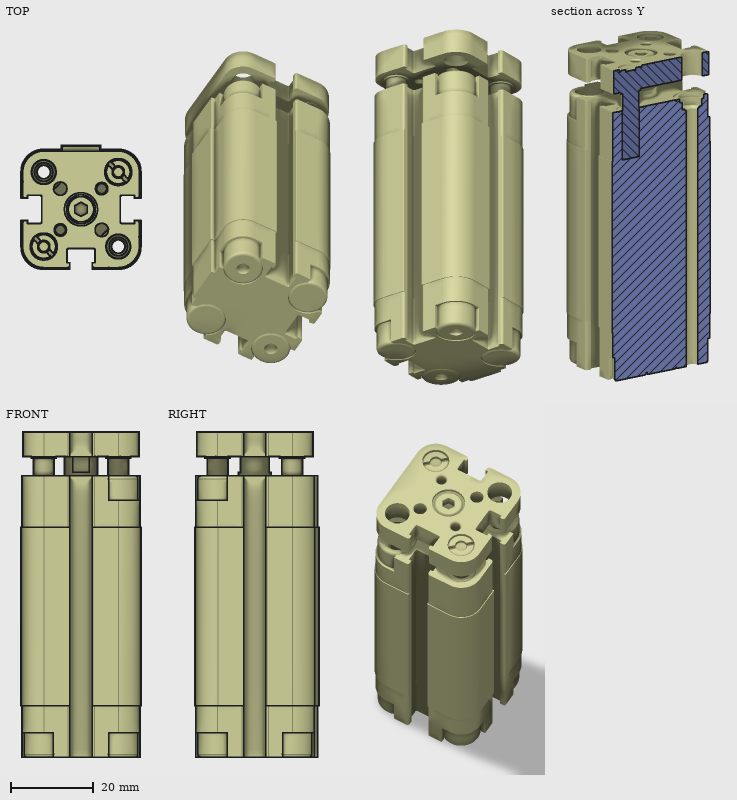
import cadquery as cq
import math

TOTAL_HEIGHT = 78.5
PLATE_THICKNESS = 6.0
PLATE_GAP = 4.55
CAP_HEIGHT = 12.4
PLATE_BOTTOM = TOTAL_HEIGHT - PLATE_THICKNESS
HOUSING_TOP = PLATE_BOTTOM - PLATE_GAP
BARREL_HEIGHT = HOUSING_TOP - 2 * CAP_HEIGHT

BARREL_WIDTH = 29.0
BARREL_HALF = BARREL_WIDTH / 2
BARREL_CORNER = 5.5
BARREL_LIP_ROUND = 0.2
CAP_HALF = 14.3
CAP_CORNER = 5.25
PLATE_HALF = 14.05
PLATE_CORNER = 5.0
CAP_LIP_ROUND = 0.55

SLOT_OPENING = 5.3
SLOT_WIDTH = 6.75
SLOT_FLOOR = 9.5
SLOT_LIP_INNER = 12.9
SLOT_FLOOR_ROUND = 0.4
SLOT_ANGLES = (0, 90, -90)
CUT_MARGIN = 0.8

BARREL_RAIL_WIDTH = 9.6
OVERALL_DEPTH = 30.0
BARREL_RAIL_TOP = OVERALL_DEPTH - BARREL_HALF
CAP_RAIL_WIDTH = 9.1
CAP_RAIL_SETBACK = 0.3
CAP_RAIL_TOP = BARREL_RAIL_TOP - CAP_RAIL_SETBACK
RAIL_ROUND = 0.3

CORNER_PITCH = 18.0
CORNER_OFFSET = CORNER_PITCH / 2
GUIDE_CORNERS = [(-CORNER_OFFSET, -CORNER_OFFSET), (CORNER_OFFSET, CORNER_OFFSET)]
SCREW_CORNERS = [(-CORNER_OFFSET, CORNER_OFFSET), (CORNER_OFFSET, -CORNER_OFFSET)]

BOSS_DIAMETER = 9.5
BOSS_HEIGHT = 6.0
BOSS_ROUND = 0.7
BOSS_POCKET_SIDE = 6.7

SCREW_RIM_DIAMETER = 7.0
SCREW_RIM_DEPTH = 1.0
SCREW_HEAD_DIAMETER = 5.7
SCREW_HEAD_DEPTH = 2.8
SCREW_TAPER_DIAMETER = 4.5
SCREW_BORE_DIAMETER = 3.2

ROD_DIAMETER = 8.0
ROD_FLATS = 7.0
ROD_FLAT_START = 0.8
GUIDE_DIAMETER = 5.0
GUIDE_COLLAR_DIAMETER = 6.1
GUIDE_COLLAR_HEIGHT = 0.4
ROD_INSERTION = CAP_HEIGHT
BUSHING_GROOVE_OUTER = 7.3
BUSHING_GROOVE_INNER = 6.8

END_RECESS = 0.3
ROD_END_DIAMETER = 7.0
ROD_END_TOP = 6.1
HEX_FLATS = 3.0
HEX_DEPTH = 2.35
GUIDE_END_DIAMETER = 6.5
GUIDE_END_TOP = 5.7
DRIVE_SLOT_WIDTH = 1.0
DRIVE_SLOT_DEPTH = 0.95
SCREW_TIP_DIAMETER = 3.0
SCREW_TIP_TOP = 2.4
SCREW_TIP_DEPTH = 0.5

ACCESS_HOLE_DIAMETER = 6.0
PLATE_HOLE_PITCH = 10.0
PIN_HOLE_DIAMETER = 3.2
THREAD_HOLE_DIAMETER = 2.4
THREAD_CHAMFER_DIAMETER = 3.0


def disc(diameter, bottom, height, center=(0, 0)):
    """Upright cylinder standing at the given height."""
    return cq.Workplane("XY", origin=(*center, bottom)).circle(diameter / 2).extrude(height)


def cone(bottom_diameter, top_diameter, bottom, center=(0, 0)):
    """Upright 45 degree truncated cone."""
    height = abs(bottom_diameter - top_diameter) / 2
    solid = cq.Solid.makeCone(bottom_diameter / 2, top_diameter / 2, height, cq.Vector(*center, bottom))
    return cq.Workplane(obj=solid)


def turned(shape, angle):
    """The shape turned about the cylinder axis."""
    return shape.rotate((0, 0, 0), (0, 0, 1), angle)


def t_slot(half, lip_round, bottom, height):
    """Cutter for the T-slot on the -Y side, with rounded outer lips."""
    opening = SLOT_OPENING / 2
    inner = SLOT_WIDTH / 2
    outside = half + CUT_MARGIN
    arc_inset = lip_round * (1 - math.sqrt(0.5))

    def lip_arc(side):
        return (side * (opening + arc_inset), arc_inset - half)

    return (
        cq.Workplane("XY", origin=(0, 0, bottom))
        .moveTo(-inner, -SLOT_FLOOR)
        .lineTo(inner, -SLOT_FLOOR)
        .lineTo(inner, -SLOT_LIP_INNER)
        .lineTo(opening, -SLOT_LIP_INNER)
        .lineTo(opening, lip_round - half)
        .threePointArc(lip_arc(1), (opening + lip_round, -half))
        .lineTo(opening + lip_round, -outside)
        .lineTo(-opening - lip_round, -outside)
        .lineTo(-opening - lip_round, -half)
        .threePointArc(lip_arc(-1), (-opening, lip_round - half))
        .lineTo(-opening, -SLOT_LIP_INNER)
        .lineTo(-inner, -SLOT_LIP_INNER)
        .close()
        .extrude(height)
    )


def slotted_block(half, corner, lip_round, floor_round, bottom, height):
    """Rounded square block with T-slots on three sides."""
    block = (
        cq.Workplane("XY", origin=(0, 0, bottom))
        .rect(2 * half, 2 * half)
        .extrude(height)
        .edges("|Z")
        .fillet(corner)
    )
    slot = t_slot(half, lip_round, bottom, height)
    if floor_round > 0:
        slot = slot.edges("|Z and >Y").fillet(floor_round)
    for angle in SLOT_ANGLES:
        block = block.cut(turned(slot, angle))
    return block


def rail(width, top, bottom, height):
    """Rail standing on the +Y side, with rounded outer edges."""
    depth = top - SLOT_FLOOR
    return (
        cq.Workplane("XY", origin=(0, SLOT_FLOOR + depth / 2, bottom))
        .rect(width, depth)
        .extrude(height)
        .edges("|Z and >Y")
        .fillet(RAIL_ROUND)
    )


def boss_relief():
    """Cutter that leaves a rounded boss at the (+X, +Y) corner of the top cap."""
    floor = HOUSING_TOP - BOSS_HEIGHT
    center = (CORNER_OFFSET, CORNER_OFFSET)
    pocket_size = BARREL_HALF - BOSS_POCKET_SIDE
    pocket = (
        cq.Workplane("XY", origin=(BOSS_POCKET_SIDE, BOSS_POCKET_SIDE, floor))
        .rect(pocket_size, pocket_size, centered=False)
        .extrude(BOSS_HEIGHT)
    )
    rim = disc(BOSS_DIAMETER, HOUSING_TOP - BOSS_ROUND, BOSS_ROUND, center)
    boss = disc(BOSS_DIAMETER, floor, BOSS_HEIGHT, center).faces(">Z").edges().fillet(BOSS_ROUND)
    return pocket.union(rim).cut(boss)


def screw_hole(center):
    """Cutter for a stepped mounting hole through the whole housing."""
    taper_height = (SCREW_TAPER_DIAMETER - SCREW_BORE_DIAMETER) / 2
    head_bottom = HOUSING_TOP - SCREW_HEAD_DEPTH
    bore = disc(SCREW_BORE_DIAMETER, 0, HOUSING_TOP, center)
    taper = cone(SCREW_BORE_DIAMETER, SCREW_TAPER_DIAMETER, head_bottom - taper_height, center)
    head = disc(SCREW_HEAD_DIAMETER, head_bottom, SCREW_HEAD_DEPTH, center)
    rim = disc(SCREW_RIM_DIAMETER, HOUSING_TOP - SCREW_RIM_DEPTH, SCREW_RIM_DEPTH, center)
    return bore.union(taper).union(head).union(rim)


def bushing_groove(center):
    """Cutter for the fine V-groove around a guide rod bushing."""
    depth = (BUSHING_GROOVE_OUTER - BUSHING_GROOVE_INNER) / 2
    ring = disc(BUSHING_GROOVE_OUTER, HOUSING_TOP - depth, depth, center)
    return ring.cut(cone(BUSHING_GROOVE_OUTER, BUSHING_GROOVE_INNER, HOUSING_TOP - depth, center))


def make_housing():
    """Barrel between two end caps, with rod holes in the top cap."""
    barrel_top = HOUSING_TOP - CAP_HEIGHT
    housing = slotted_block(BARREL_HALF, BARREL_CORNER, BARREL_LIP_ROUND, 0, CAP_HEIGHT, BARREL_HEIGHT)
    for bottom in (0, barrel_top):
        cap = slotted_block(CAP_HALF, CAP_CORNER, CAP_LIP_ROUND, SLOT_FLOOR_ROUND, bottom, CAP_HEIGHT)
        cap = cap.union(rail(CAP_RAIL_WIDTH, CAP_RAIL_TOP, bottom, CAP_HEIGHT))
        housing = housing.union(cap)
    housing = housing.union(rail(BARREL_RAIL_WIDTH, BARREL_RAIL_TOP, CAP_HEIGHT, BARREL_HEIGHT))

    relief = boss_relief()
    bottom_relief = relief.mirror("XY", (0, 0, HOUSING_TOP / 2))
    for angle in (90, -90):
        housing = housing.cut(turned(relief, angle))
    for angle in (0, 90, 180, 270):
        housing = housing.cut(turned(bottom_relief, angle))
    for corner in SCREW_CORNERS:
        housing = housing.cut(screw_hole(corner))

    hole_bottom = HOUSING_TOP - ROD_INSERTION
    housing = housing.cut(disc(ROD_DIAMETER, hole_bottom, ROD_INSERTION))
    for corner in GUIDE_CORNERS:
        housing = housing.cut(disc(GUIDE_DIAMETER, hole_bottom, ROD_INSERTION, corner))
        housing = housing.cut(bushing_groove(corner))
    return housing


def make_plate():
    """Front plate with access holes, pin holes and threaded holes."""
    plate = slotted_block(
        PLATE_HALF, PLATE_CORNER, CAP_LIP_ROUND, SLOT_FLOOR_ROUND, PLATE_BOTTOM, PLATE_THICKNESS
    )
    for corner in SCREW_CORNERS:
        plate = plate.cut(disc(ACCESS_HOLE_DIAMETER, PLATE_BOTTOM, PLATE_THICKNESS, corner))
    offset = PLATE_HOLE_PITCH / 2
    for center in ((-offset, offset), (offset, -offset)):
        plate = plate.cut(disc(PIN_HOLE_DIAMETER, PLATE_BOTTOM, PLATE_THICKNESS, center))
    chamfer = (THREAD_CHAMFER_DIAMETER - THREAD_HOLE_DIAMETER) / 2
    for center in ((-offset, -offset), (offset, offset)):
        plate = plate.cut(disc(THREAD_HOLE_DIAMETER, PLATE_BOTTOM, PLATE_THICKNESS, center))
        plate = plate.cut(cone(THREAD_HOLE_DIAMETER, THREAD_CHAMFER_DIAMETER, TOTAL_HEIGHT - chamfer, center))
    return plate


def end_relief(hole_diameter, end_diameter, end_top_diameter, center=(0, 0)):
    """Cutter that sets a chamfered rod end below the top of the plate."""
    chamfer = (end_diameter - end_top_diameter) / 2
    depth = END_RECESS + chamfer
    recess = disc(hole_diameter, TOTAL_HEIGHT - depth, depth, center)
    return recess.cut(cone(end_diameter, end_top_diameter, TOTAL_HEIGHT - depth, center))


def guide_drive(center):
    """Cutter for the screwdriver slot and the screw tip in a guide rod end."""
    end_face = TOTAL_HEIGHT - END_RECESS
    tip_top = end_face - SCREW_TIP_DEPTH
    tip_bottom = end_face - DRIVE_SLOT_DEPTH
    chamfer = (SCREW_TIP_DIAMETER - SCREW_TIP_TOP) / 2
    slot = (
        cq.Workplane("XY", origin=(*center, tip_bottom))
        .transformed(rotate=(0, 0, -45))
        .rect(GUIDE_END_DIAMETER, DRIVE_SLOT_WIDTH)
        .extrude(DRIVE_SLOT_DEPTH)
        .intersect(disc(GUIDE_END_DIAMETER, tip_bottom, DRIVE_SLOT_DEPTH, center))
    )
    hole = disc(SCREW_TIP_DIAMETER, tip_bottom, DRIVE_SLOT_DEPTH, center)
    tip_shank = disc(SCREW_TIP_DIAMETER, tip_bottom, tip_top - chamfer - tip_bottom, center)
    tip = tip_shank.union(cone(SCREW_TIP_DIAMETER, SCREW_TIP_TOP, tip_top - chamfer, center))
    return slot.union(hole).cut(tip)


def make_piston_rod():
    """Central rod with two wrench flats."""
    bottom = HOUSING_TOP - ROD_INSERTION
    rod = disc(ROD_DIAMETER, bottom, PLATE_BOTTOM - bottom)
    flat_bottom = HOUSING_TOP + ROD_FLAT_START
    flat_height = PLATE_BOTTOM - flat_bottom
    ring = disc(ROD_DIAMETER, flat_bottom, flat_height)
    kept = cq.Workplane("XY", origin=(0, 0, flat_bottom)).rect(ROD_DIAMETER, ROD_FLATS).extrude(flat_height)
    return rod.cut(ring.cut(kept))


def make_guide_rod(center):
    """Guide rod with a thin collar under the plate."""
    bottom = HOUSING_TOP - ROD_INSERTION
    rod = disc(GUIDE_DIAMETER, bottom, PLATE_BOTTOM - bottom, center)
    collar_bottom = PLATE_BOTTOM - GUIDE_COLLAR_HEIGHT
    return rod.union(disc(GUIDE_COLLAR_DIAMETER, collar_bottom, GUIDE_COLLAR_HEIGHT, center))


def make_piston_unit():
    """Front plate together with the piston rod and both guide rods."""
    unit = make_plate().union(make_piston_rod())
    unit = unit.cut(end_relief(ROD_DIAMETER, ROD_END_DIAMETER, ROD_END_TOP))
    hex_socket = (
        cq.Workplane("XY", origin=(0, 0, TOTAL_HEIGHT - END_RECESS))
        .transformed(rotate=(0, 0, 90))
        .polygon(6, HEX_FLATS / math.cos(math.pi / 6))
        .extrude(-HEX_DEPTH)
    )
    unit = unit.cut(hex_socket)
    for corner in GUIDE_CORNERS:
        unit = unit.union(make_guide_rod(corner))
        unit = unit.cut(end_relief(GUIDE_END_DIAMETER, GUIDE_END_DIAMETER, GUIDE_END_TOP, corner))
        unit = unit.cut(guide_drive(corner))
    return unit


housing = make_housing()
piston_unit = make_piston_unit()
result = cq.Compound.makeCompound([housing.solids().val(), piston_unit.solids().val()])